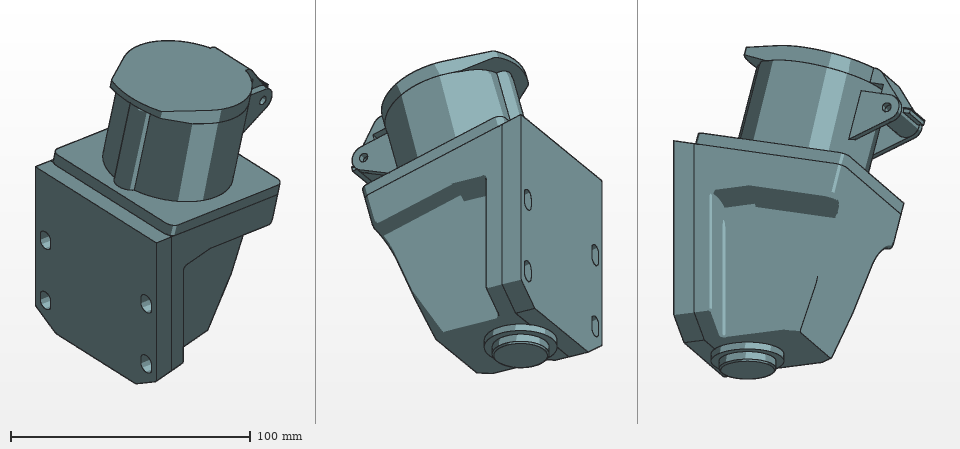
import cadquery as cq
import math

body_width = 70.0
half_width = body_width / 2

plate_thickness = 9.1
front_top = 85.6
corner_cut_width = 11.9
corner_cut_height = 8.5
slot_width = 6.0
slot_height = 9.3
slot_offset = 29.1
slot_heights = (14.8, 48.2)

tilt = 15.0
tilt_sin = math.sin(math.radians(tilt))
tilt_cos = math.cos(math.radians(tilt))
slope = cq.Vector(0, tilt_cos, -tilt_sin)
barrel_axis = cq.Vector(0, tilt_sin, tilt_cos)

flange_front = 8.7
flange_back = flange_front + body_width
flange_thickness = 5.0
corner_radius = 4.0
barrel_center = 43.8
barrel_radius = 27.7
barrel_top = 43.4
rib_radius = 6.1
rib_offset = 24.8
rim_taper = 7.0

hinge_v = 81.3
hinge_w = 33.0
knuckle_radius = 5.5
hinge_hole_radius = 2.0
tongue_half_width = 10.3
lug_thickness = 3.2
lug_foot_w = 16.9
lug_root_v = barrel_center + 0.7 * barrel_radius

lid_top = 49.9
handle_radius = 34.9
handle_half_angle = 24.5
handle_corner_radius = 2.8
handle_thickness = 2.6
lift_start_v = 25.8
tongue_bend_v = 72.3
tongue_bend_radius = 5.5
tab_half_width = 8.2
tab_end_v = 89.8
tab_bottom_w = 33.1
tab_thickness = 2.2
ridge_width = 0.4
ridge_height = 0.4

rear_bend_w = -12.5
housing_bottom_depth = 50.0
lip_depth = 17.2
underside_w = -15.2
underside_height = 61.0
waist_half_width = 22.0
cove_radius = 11.5
lip_radius = 1.7
edge_radius = 1.4
rear_cut_height = 27.7
rear_cut_depth = 5.8
rear_cut_width = 3.9

gland_depth = 19.5
gland_flange_radius = 15.2
gland_flange_height = 3.0
gland_nut_radius = 11.9
gland_height = 7.0
gland_edge = 0.7


def tilted_point(v, w):
    """(Y, Z) of a point given in the tilted frame."""
    return (v * tilt_cos + w * tilt_sin, front_top - v * tilt_sin + w * tilt_cos)


rear_bend_y, rear_bend_z = tilted_point(flange_back, rear_bend_w)
rear_slope = cq.Vector(0, rear_bend_y - housing_bottom_depth, rear_bend_z)


def across(w):
    """Workplane square to the barrel axis at height w; local x is X, local y is v."""
    y, z = tilted_point(0, w)
    return cq.Workplane(cq.Plane((0, y, z), (1, 0, 0), (0, tilt_sin, tilt_cos)))


def along(x=0):
    """Workplane square to X; local x is v, local y is w."""
    return cq.Workplane(cq.Plane((x, 0, front_top), (0, tilt_cos, -tilt_sin), (1, 0, 0)))


def upright(x=0):
    """Workplane square to X; local x is Y, local y is Z."""
    return cq.Workplane("YZ", origin=(x, 0, 0))


def knuckle_tangent(v, w, side):
    """Point where a line from (v, w) touches the hinge knuckle, on the chosen side."""
    distance = math.hypot(v - hinge_v, w - hinge_w)
    angle = math.atan2(w - hinge_w, v - hinge_v) + side * math.acos(knuckle_radius / distance)
    return (hinge_v + knuckle_radius * math.cos(angle), hinge_w + knuckle_radius * math.sin(angle))


def hinge_hole():
    return along().center(hinge_v, hinge_w).circle(hinge_hole_radius).extrude(half_width, both=True)


def bottom_corner_cut(side):
    outer = side * half_width
    inner = side * (half_width - corner_cut_width)
    return (
        cq.Workplane("XZ")
        .polyline([(outer, corner_cut_height), (inner, 0), (outer, 0)])
        .close()
        .extrude(-lip_depth)
    )


def handle_gap():
    """Wedge under the rising front of the lid."""
    rise = (lid_top - handle_thickness - barrel_top) / (lift_start_v - barrel_center + handle_radius)
    return (
        along()
        .polyline([(lift_start_v, barrel_top), (0, barrel_top + rise * lift_start_v), (0, barrel_top)])
        .close()
        .extrude(half_width, both=True)
    )


def make_plate():
    back_top = front_top - plate_thickness * math.tan(math.radians(tilt))
    plate = (
        upright()
        .polyline([(0, 0), (0, front_top), (plate_thickness, back_top), (plate_thickness, 0)])
        .close()
        .extrude(half_width, both=True)
    )
    for side in (-1, 1):
        plate = plate.cut(bottom_corner_cut(side))
    plate = plate.edges().filter(is_lip_corner).fillet(edge_radius)
    slot_direction = cq.Vector(0, plate_thickness, back_top - front_top)
    for x in (-slot_offset, slot_offset):
        for z in slot_heights:
            mouth = (
                cq.Workplane("XZ", origin=(x, 0, z))
                .slot2D(slot_height, slot_width, 90)
                .wires()
                .val()
            )
            plate = plate.cut(cq.Workplane(cq.Solid.extrudeLinear(mouth, [], slot_direction)))
    return plate


def side_recess(side):
    """Space beside the narrow waist, with a cove under the head and along the lip."""
    far_v = flange_back + half_width
    bend_y = (underside_w + (front_top - underside_height) * tilt_cos) / tilt_sin
    outline = [
        (lip_depth, -half_width),
        (lip_depth, underside_height),
        (bend_y, underside_height),
        tilted_point(far_v, underside_w),
        (tilted_point(far_v, underside_w)[0], -half_width),
    ]
    recess = upright(side * waist_half_width).polyline(outline).close().extrude(side * half_width)
    inner_edges = recess.faces("<X" if side > 0 else ">X").edges()
    roof_edges = inner_edges.edges(">Z").add(inner_edges.edges(cq.selectors.ParallelDirSelector(slope)))
    recess = recess.newObject(roof_edges.vals()).fillet(cove_radius)
    lip_chain = recess.faces("<Y").edges("not <Z").edges("not (<X)" if side < 0 else "not (>X)")
    return recess.newObject(lip_chain.vals()).fillet(lip_radius)


def rear_corner_cut(side):
    """Flat that grows toward the bottom on one rear corner of the waist."""
    top_y = housing_bottom_depth + (rear_bend_y - housing_bottom_depth) * rear_cut_height / rear_bend_z
    top = cq.Vector(side * waist_half_width, top_y, rear_cut_height)
    near = cq.Vector(side * waist_half_width, housing_bottom_depth - rear_cut_depth, 0)
    far = cq.Vector(side * (waist_half_width - rear_cut_width), housing_bottom_depth, 0)
    normal = (near - top).cross(far - top) * side
    plane = cq.Plane(top, near - top, normal)
    outside = cq.Workplane(plane).rect(body_width * 2, body_width * 2).extrude(half_width)
    lower_part = cq.Workplane("XY").rect(body_width * 2, body_width * 2).extrude(rear_cut_height)
    return outside.intersect(lower_part)


def near(value, target):
    return abs(value - target) < 0.07


def is_waist_rear_edge(edge):
    ends = (edge.startPoint(), edge.endPoint())
    on_side = all(near(abs(end.x), waist_half_width) for end in ends)
    rises = abs(ends[0].z - ends[1].z) > abs(ends[0].y - ends[1].y)
    return on_side and rises and edge.Center().y > housing_bottom_depth - rear_cut_depth


def is_waist_bottom_edge(edge):
    center = edge.Center()
    return near(center.z, 0) and center.y > lip_depth - edge_radius and edge_radius < abs(center.x) < half_width


def is_recess_mouth(edge):
    center = edge.Center()
    below_head = center.z < underside_height + edge_radius
    return near(abs(center.x), half_width) and below_head and lip_depth - edge_radius < center.y < rear_bend_y - 2 * corner_radius


def is_lip_corner(edge):
    center = edge.Center()
    return near(abs(center.x), half_width) and near(center.z, corner_cut_height)


def is_lip_back_slope(edge):
    center = edge.Center()
    return near(center.y, lip_depth) and edge_radius < center.z < corner_cut_height


def make_housing():
    outline = [
        (plate_thickness, 0),
        (plate_thickness, front_top - plate_thickness * tilt_sin / tilt_cos),
        tilted_point(flange_back, 0),
        (rear_bend_y, rear_bend_z),
        (housing_bottom_depth, 0),
    ]
    housing = upright().polyline(outline).close().extrude(half_width, both=True)
    rear_corners = housing.edges(cq.selectors.ParallelDirSelector(barrel_axis)).add(
        housing.edges(cq.selectors.ParallelDirSelector(rear_slope))
    )
    housing = housing.newObject(rear_corners.vals()).fillet(corner_radius)
    for side in (-1, 1):
        housing = housing.cut(side_recess(side)).cut(rear_corner_cut(side))
    housing = housing.edges().filter(is_waist_rear_edge).fillet(edge_radius)
    housing = housing.edges().filter(is_waist_bottom_edge).fillet(edge_radius)
    housing = housing.edges().filter(is_recess_mouth).fillet(edge_radius)
    for side in (-1, 1):
        housing = housing.cut(bottom_corner_cut(side))
    housing = housing.edges().filter(lambda edge: is_lip_corner(edge) or is_lip_back_slope(edge))
    housing = housing.fillet(edge_radius)
    return housing


def barrel_outline(w, height, taper=0):
    barrel = across(w).center(0, barrel_center).circle(barrel_radius).extrude(height, taper=taper)
    rib = across(w).center(0, barrel_center - rib_offset).circle(rib_radius).extrude(height, taper=taper)
    return barrel.union(rib)


def hinge_lug(side):
    top_w = hinge_w + knuckle_radius
    foot_v = barrel_center + math.sqrt(barrel_radius**2 - (tongue_half_width + lug_thickness) ** 2)
    lug = (
        along(side * tongue_half_width)
        .moveTo(lug_root_v, top_w)
        .lineTo(hinge_v, top_w)
        .threePointArc((hinge_v + knuckle_radius, hinge_w), knuckle_tangent(foot_v, lug_foot_w, 1))
        .lineTo(foot_v, lug_foot_w)
        .lineTo(lug_root_v, lug_foot_w)
        .close()
        .extrude(side * lug_thickness)
    )
    return lug.cut(hinge_hole())


def make_socket():
    flange_corners = across(0).center(0, flange_front + half_width).rect(body_width, body_width).extrude(flange_thickness)
    flange = flange_corners.edges(cq.selectors.ParallelDirSelector(barrel_axis)).fillet(corner_radius)
    rim = barrel_outline(barrel_top, lid_top - barrel_top, rim_taper).intersect(handle_gap())
    socket = flange.union(barrel_outline(flange_thickness, barrel_top - flange_thickness)).union(rim)
    for side in (-1, 1):
        socket = socket.union(hinge_lug(side))
    return socket


def lid_outline_point(radius, angle, side):
    """Point on a circle about the barrel axis, by its angle from the handle."""
    angle = math.radians(angle)
    return (side * radius * math.sin(angle), -radius * math.cos(angle))


def lid_disc():
    tangent_angle = handle_half_angle + math.degrees(math.acos(barrel_radius / handle_radius))
    tip = (0, -handle_radius)
    back_angle = 180 - math.degrees(math.asin(tongue_half_width / barrel_radius))
    disc = (
        across(barrel_top)
        .center(0, barrel_center)
        .moveTo(*lid_outline_point(barrel_radius, back_angle, 1))
        .threePointArc((barrel_radius, 0), lid_outline_point(barrel_radius, tangent_angle, 1))
        .lineTo(*lid_outline_point(handle_radius, handle_half_angle, 1))
        .threePointArc(tip, lid_outline_point(handle_radius, handle_half_angle, -1))
        .lineTo(*lid_outline_point(barrel_radius, tangent_angle, -1))
        .threePointArc((-barrel_radius, 0), lid_outline_point(barrel_radius, back_angle, -1))
        .close()
        .extrude(lid_top - barrel_top)
    )
    corner_y = tilted_point(barrel_center - handle_radius * math.cos(math.radians(handle_half_angle)),
                            (lid_top + barrel_top) / 2)
    corner_x = handle_radius * math.sin(math.radians(handle_half_angle))
    for side in (-1, 1):
        disc = disc.edges(cq.selectors.NearestToPointSelector((side * corner_x, *corner_y))).fillet(
            handle_corner_radius)
    return disc


def hinge_tongue():
    window_v = hinge_v - knuckle_radius
    tongue = (
        along()
        .moveTo(lug_root_v, lid_top)
        .lineTo(tongue_bend_v, lid_top)
        .lineTo(*knuckle_tangent(tongue_bend_v, lid_top, -1))
        .threePointArc((hinge_v, hinge_w - knuckle_radius), (window_v, hinge_w))
        .lineTo(window_v, barrel_top)
        .lineTo(lug_root_v, barrel_top)
        .close()
        .extrude(tongue_half_width, both=True)
    )
    bend = (0, *tilted_point(tongue_bend_v, lid_top))
    return tongue.edges(cq.selectors.NearestToPointSelector(bend)).fillet(tongue_bend_radius)


def lifting_tab():
    length = tab_end_v - hinge_v
    base_thickness = tab_thickness - ridge_height
    tab = (
        along()
        .center(hinge_v + length / 2, tab_bottom_w + base_thickness / 2)
        .rect(length, base_thickness)
        .extrude(tab_half_width, both=True)
    )
    pitch = 2 * ridge_width
    ridge_count = round(2 * tab_half_width / pitch)
    for i in range(ridge_count):
        x = (i - (ridge_count - 1) / 2) * pitch
        ridge = (
            along(x)
            .center(hinge_v + length / 2, tab_bottom_w + tab_thickness - ridge_height / 2)
            .rect(length, ridge_height)
            .extrude(ridge_width / 2, both=True)
        )
        tab = tab.union(ridge)
    return tab


def make_lid():
    lid = lid_disc().cut(handle_gap())
    return lid.union(hinge_tongue()).union(lifting_tab()).cut(hinge_hole())


def make_gland():
    gland = cq.Workplane("XY", origin=(0, gland_depth, 0)).circle(gland_nut_radius).extrude(-gland_height)
    gland = gland.faces("<Z").chamfer(gland_edge)
    collar = (
        cq.Workplane("XY", origin=(0, gland_depth, 0))
        .circle(gland_flange_radius)
        .extrude(-gland_flange_height)
    )
    return gland.union(collar)


plate = make_plate()
housing = make_housing()
socket = make_socket()
lid = make_lid()
gland = make_gland()
result = cq.Compound.makeCompound(
    [body.solids().val() for body in (plate, housing, socket, lid, gland)]
)